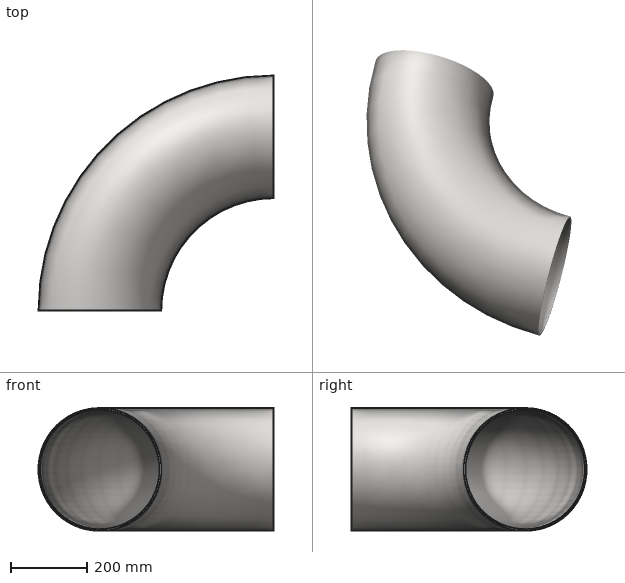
import cadquery as cq

overall_size = 619.0
outer_diameter = 324.0
wall_thickness = 5.0
bend_angle = 90.0

outer_radius = outer_diameter / 2
inner_radius = outer_radius - wall_thickness
bend_radius = overall_size - outer_radius

pipe_section = (
    cq.Workplane("XZ")
    .center(-bend_radius, 0)
    .circle(outer_radius)
    .circle(inner_radius)
)
axis_start = (bend_radius, 0)
axis_end = (bend_radius, -1)
result = pipe_section.revolve(bend_angle, axis_start, axis_end)